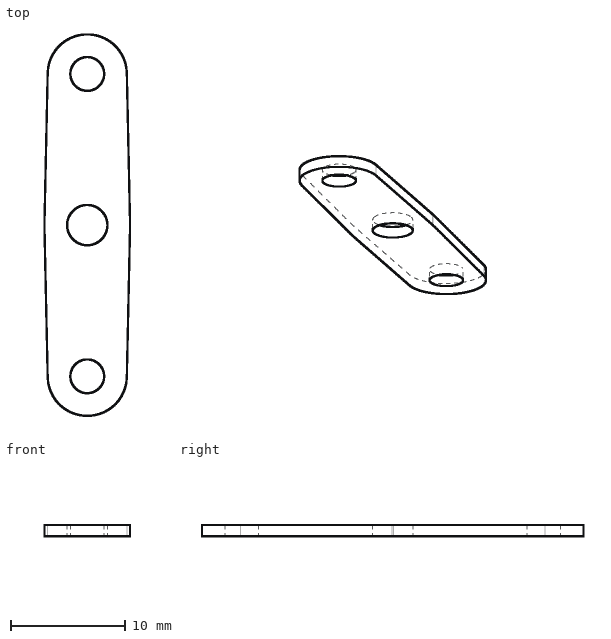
import cadquery as cq
import math

length = 33.4
width = 7.5
thickness = 1.0
end_radius = 3.47
end_hole_diameter = 2.95
center_hole_diameter = 3.5

center_radius = width / 2
end_offset = length / 2 - end_radius

taper = math.asin((center_radius - end_radius) / end_offset)
center_tangent_x = center_radius * math.cos(taper)
center_tangent_y = center_radius * math.sin(taper)
end_tangent_x = end_radius * math.cos(taper)
end_tangent_y = end_offset + end_radius * math.sin(taper)

plate = (
    cq.Workplane("XY")
    .moveTo(center_tangent_x, center_tangent_y)
    .lineTo(end_tangent_x, end_tangent_y)
    .threePointArc((0, length / 2), (-end_tangent_x, end_tangent_y))
    .lineTo(-center_tangent_x, center_tangent_y)
    .threePointArc((-center_radius, 0), (-center_tangent_x, -center_tangent_y))
    .lineTo(-end_tangent_x, -end_tangent_y)
    .threePointArc((0, -length / 2), (end_tangent_x, -end_tangent_y))
    .lineTo(center_tangent_x, -center_tangent_y)
    .threePointArc((center_radius, 0), (center_tangent_x, center_tangent_y))
    .close()
    .extrude(thickness)
)

result = (
    plate.faces(">Z")
    .workplane(origin=(0, 0, thickness))
    .hole(center_hole_diameter)
    .faces(">Z")
    .workplane(origin=(0, 0, thickness))
    .pushPoints([(0, -end_offset), (0, end_offset)])
    .hole(end_hole_diameter)
)